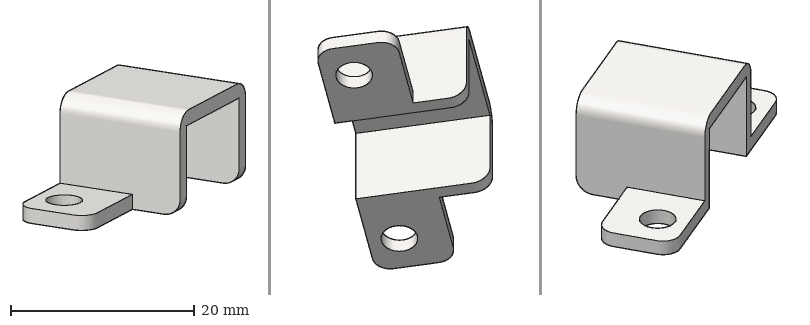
import cadquery as cq

length = 35.0
depth = 14.9
height = 11.7

bridge_width = 15.0
side_wall = 1.5
plate_thickness = 1.7
corner_radius = 2.0

foot_depth = 9.0
hole_diameter = 4.0
hole_from_back = 3.5
hole_from_end = 4.5


def make_bridge():
    """Inverted U with rounded roof edges and rounded lower front corners."""
    block = cq.Workplane("XY").box(depth, bridge_width, height, centered=(False, True, False))
    block = block.edges("|X and >Z").fillet(corner_radius)
    block = block.edges("|Y and >X and <Z").fillet(corner_radius)
    channel = cq.Workplane("XY").box(
        depth,
        bridge_width - 2 * side_wall,
        height - plate_thickness,
        centered=(False, True, False),
    )
    return block.cut(channel)


def make_foot(side):
    """Foot reaching from the channel face to the end on one side (+1 or -1 in Y)."""
    inner_end = bridge_width / 2 - side_wall
    foot_length = length / 2 - inner_end
    foot = (
        cq.Workplane("XY")
        .box(foot_depth, foot_length, plate_thickness, centered=(False, True, False))
        .translate((0, side * (inner_end + foot_length / 2), 0))
    )
    outer_face = ">Y" if side > 0 else "<Y"
    foot = foot.edges(f"|Z and {outer_face}").fillet(corner_radius)
    hole = (
        cq.Workplane("XY")
        .center(hole_from_back, side * (length / 2 - hole_from_end))
        .circle(hole_diameter / 2)
        .extrude(plate_thickness)
    )
    return foot.cut(hole)


result = make_bridge()
for side in (-1, 1):
    result = result.union(make_foot(side))